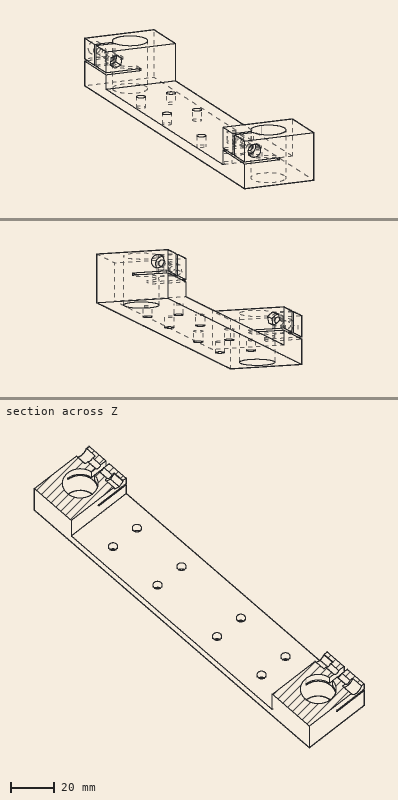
import cadquery as cq

length = 185.0
width = 35.0
height = 23.0
plate_thickness = 5.0

block_length = 25.0
block_offset = (length - block_length) / 2
bore_diameter = 16.3
jaw_height = 10.0
jaw_gap = 1.0
split_width = 2.0

screw_from_front = 5.0
screw_y = -width / 2 + screw_from_front
screw_from_top = 5.2
screw_z = height - screw_from_top
screw_head_diameter = 6.3
screw_head_depth = 6.0
screw_diameter = 3.1
nut_corner_diameter = 6.3
nut_depth = 6.0
nut_angle = 20.0

mount_diameter = 4.3
mount_x_inner = 20.0
mount_x_outer = 50.0
mount_y = 7.5


def box(size_x, size_y, size_z, center_x, min_y, min_z):
    """Box centred on center_x, starting at min_y and min_z."""
    return cq.Workplane("XY").box(
        size_x, size_y, size_z, centered=(True, False, False)
    ).translate((center_x, min_y, min_z))


def screw_plane(start_x):
    """Workplane facing +X, centred on the screw axis at start_x."""
    return cq.Workplane("YZ", origin=(start_x, screw_y, screw_z))


def clamp_block():
    """Left clamp block, with its screw head outside and its nut pocket on the inner face."""
    center_x = -block_offset
    outer_x = -length / 2
    inner_x = outer_x + block_length

    block = box(block_length, width, height, center_x, -width / 2, 0)
    bore = cq.Workplane("XY").center(center_x, 0).circle(bore_diameter / 2).extrude(height)
    split = box(split_width, width / 2, jaw_height, center_x, -width / 2, height - jaw_height)
    gap = box(block_length, width / 2, jaw_gap, center_x, -width / 2, height - jaw_height - jaw_gap)

    screw = screw_plane(outer_x).circle(screw_diameter / 2).extrude(block_length)
    head = screw_plane(outer_x).circle(screw_head_diameter / 2).extrude(screw_head_depth)
    nut_plane = screw_plane(inner_x).transformed(rotate=(0, 0, nut_angle))
    nut = nut_plane.polygon(6, nut_corner_diameter).extrude(-nut_depth)
    return block.cut(bore).cut(split).cut(gap).cut(screw).cut(head).cut(nut)


plate = box(length - 2 * block_length, width, plate_thickness, 0, -width / 2, 0)
left_block = clamp_block()
body = plate.union(left_block).union(left_block.mirror("YZ"))

mount_points = [
    (x, y)
    for x in (-mount_x_outer, -mount_x_inner, mount_x_inner, mount_x_outer)
    for y in (-mount_y, mount_y)
]
mount_holes = cq.Workplane("XY").pushPoints(mount_points).circle(mount_diameter / 2).extrude(plate_thickness)

result = body.cut(mount_holes)